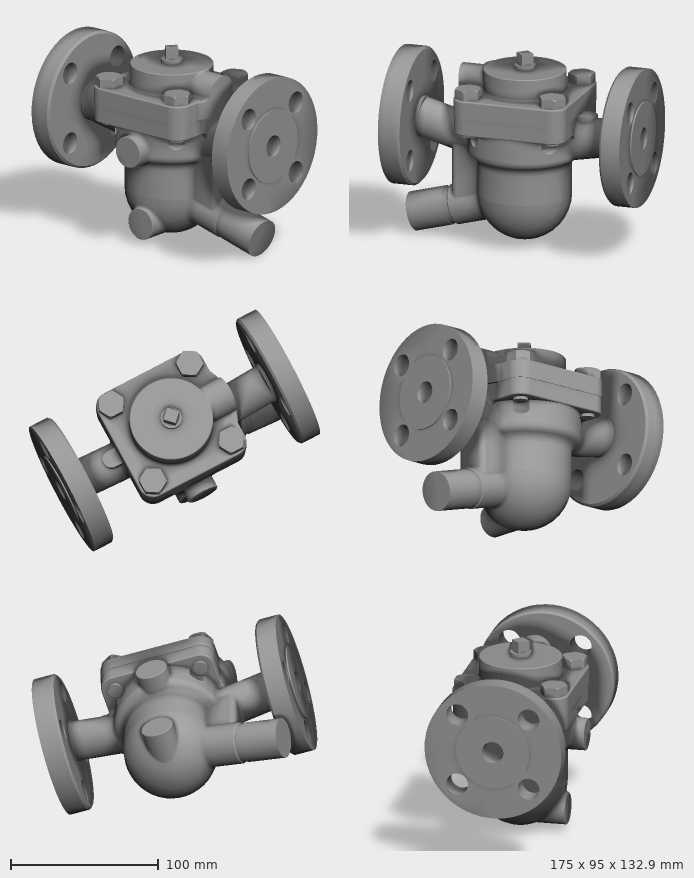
import cadquery as cq
import math

FACE_TO_FACE = 175.0
INLET_FACE_X = -85.0
OUTLET_FACE_X = INLET_FACE_X + FACE_TO_FACE

FLANGE_DIA = 95.0
FLANGE_THICKNESS = 15.0
FLANGE_CHAMFER = 1.5
RAISED_FACE_DIA = 51.0
RAISED_FACE_HEIGHT = 1.0
FLANGE_DEPTH = FLANGE_THICKNESS + RAISED_FACE_HEIGHT
FLANGE_HOLE_DIA = 15.0
FLANGE_HOLE_PITCH = 49.5
BORE_DIA = 15.0
HUB_DIA = 28.0
HUB_LENGTH = 2.3

PIPE_DIA = 27.0
INLET_ANGLE = 10.5
OUTLET_ANGLE = 15.0
DRAIN_ANGLE = 15.0
PIPE_FILLET = 2.8

STEM_TOP_Z = 52.0
COLLAR_TOP_Z = 44.0
BOSS_TOP_Z = 41.1
COVER_TOP_Z = 25.9
JOINT_Z = 13.1
BODY_FLANGE_BOTTOM_Z = 1.2
COVER_SIDE = 80.5
BODY_FLANGE_SIDE = 79.5
BOLT_OFFSET = 30.1
COVER_LOBE_RADIUS = 45.2
COVER_LOBE_WIDTH = 42.4
BODY_LOBE_RADIUS = 42.7
PLATE_EDGE_FILLET = 1.0

BOSS_DIA = 56.5
BOSS_BASE_FILLET = 1.8
BOSS_TOP_FILLET = 0.5
PORT_RADIUS = 12.2
PORT_FILLET = 1.8
PORT_TOP_DROP = 0.7
PORT_Z = BOSS_TOP_Z - PORT_TOP_DROP - PORT_RADIUS
COLLAR_DIA = 14.4
STEM_SQUARE = 8.5

BOLT_DIA = 10.0
BOLT_HEAD_FLATS = 16.5
BOLT_HEAD_HEIGHT = 6.6
BOLT_HEAD_CHAMFER = 0.9
BOLT_END_Z = BODY_FLANGE_BOTTOM_Z - 2.1
BOLT_RELIEF_DIA = 14.7
BOLT_RELIEF_SHOULDER_Z = -6.1

NECK_RADIUS = 38.5
BOWL_RADIUS = 32.0
SHOULDER_TOP_Z = -14.9
SHOULDER_BOTTOM_Z = -25.2
BOWL_CENTRE_Z = -46.5

PLUG_DIA = 22.0
PLUG_CHAMFER = 0.5
PLUG_FILLET = 2.1
UPPER_PLUG_Z = -11.9
UPPER_PLUG_FACE_Y = -46.2
LOWER_PLUG_Z = -66.0
LOWER_PLUG_FACE_Y = -32.9

DRAIN_LENGTH = 82.5
DRAIN_SOCKET_DIA = 28.0
DRAIN_SOCKET_END = 52.2
DRAIN_GROOVE_DIA = 25.9
DRAIN_GROOVE_WIDTH = 3.5
DRAIN_SOCKET_CHAMFER = 0.9

MEETING_TOLERANCE = 0.002

RIB_END_X = 49.0
RIB_HALF_WIDTH = 12.2
RIB_CORNER_RADIUS = 4.0
RIB_FILLET = 2.1

LUG_RADIUS = 6.0
LUG_CENTRE_X = -46.0
LUG_BOTTOM_Z = 3.5


def vertical_cylinder(diameter, bottom_z, top_z):
    return cq.Workplane("XY", origin=(0, 0, bottom_z)).circle(diameter / 2).extrude(top_z - bottom_z)


def branch(diameter, start, direction, length):
    """Cylinder from a start point along a direction."""
    return cq.Workplane(cq.Solid.makeCylinder(diameter / 2, length, cq.Vector(*start), cq.Vector(*direction)))


def blend(base, addition, radius):
    """Union of two solids with a fillet along the line where their surfaces meet."""
    skins = [solid.val().Shells()[0] for solid in (base, addition)]
    joined = base.union(addition)
    meeting_edges = []
    for edge in joined.edges().vals():
        middle = cq.Vertex.makeVertex(*edge.positionAt(0.5).toTuple())
        if all(middle.distance(skin) < MEETING_TOLERANCE for skin in skins):
            meeting_edges.append(edge)
    return joined.newObject(meeting_edges).fillet(radius)


def flange(face_x, inward):
    """Flange with raised face and short hub; inward is +1 or -1 along X."""
    axis = (inward, 0, 0)
    disc_x = face_x + inward * RAISED_FACE_HEIGHT
    disc = branch(FLANGE_DIA, (disc_x, 0, 0), axis, FLANGE_THICKNESS)
    disc = disc.faces(">X" if inward > 0 else "<X").chamfer(FLANGE_CHAMFER)
    raised_face = branch(RAISED_FACE_DIA, (face_x, 0, 0), axis, FLANGE_DEPTH)
    hub = branch(HUB_DIA, (face_x, 0, 0), axis, FLANGE_DEPTH + HUB_LENGTH)
    body = disc.union(raised_face).union(hub)
    holes = (
        cq.Workplane("YZ", origin=(face_x, 0, 0))
        .rect(FLANGE_HOLE_PITCH, FLANGE_HOLE_PITCH, forConstruction=True)
        .vertices()
        .circle(FLANGE_HOLE_DIA / 2)
        .extrude(inward * FLANGE_DEPTH)
    )
    return body.cut(holes)


def bore(face_x, inward):
    return branch(BORE_DIA, (face_x, 0, 0), (inward, 0, 0), FLANGE_DEPTH)


def sloping_pipe(face_x, inward, angle):
    """Pipe falling from the hub of a flange to the body axis."""
    start_x = face_x + inward * FLANGE_DEPTH
    slope = math.radians(angle)
    direction = (inward * math.cos(slope), 0, -math.sin(slope))
    return branch(PIPE_DIA, (start_x, 0, 0), direction, abs(start_x) / math.cos(slope))


def lobed_plate(side, lobe_radius, bottom_z, top_z):
    """Square plate, rounded about the bolts, with a round lobe on the +X side."""
    height = top_z - bottom_z
    base = cq.Workplane("XY", origin=(0, 0, bottom_z))
    square = base.rect(side, side).extrude(height).edges("|Z").fillet(side / 2 - BOLT_OFFSET)
    lobe = base.circle(lobe_radius).extrude(height)
    lobe_strip = base.center(lobe_radius / 2, 0).rect(lobe_radius, COVER_LOBE_WIDTH).extrude(height)
    return square.union(lobe.intersect(lobe_strip))


def cover():
    """Boss and side port blended into a slab, then trimmed to the plate outline."""
    slab_side = 3 * COVER_SIDE
    slab_height = COVER_TOP_Z - JOINT_Z
    slab = cq.Workplane("XY", origin=(0, 0, JOINT_Z)).rect(slab_side, slab_side).extrude(slab_height)
    boss = vertical_cylinder(BOSS_DIA, JOINT_Z, BOSS_TOP_Z).faces(">Z").edges().fillet(BOSS_TOP_FILLET)
    port = branch(2 * PORT_RADIUS, (0, 0, PORT_Z), (1, 0, 0), COVER_SIDE)
    casting = blend(blend(slab, boss, BOSS_BASE_FILLET), port, PORT_FILLET)

    outline = lobed_plate(COVER_SIDE, COVER_LOBE_RADIUS, JOINT_Z, COVER_TOP_Z)
    outline = outline.faces(">Z").edges().fillet(PLATE_EDGE_FILLET)
    port_strip = (
        cq.Workplane("XY", origin=(0, 0, JOINT_Z))
        .center(COVER_LOBE_RADIUS / 2, 0)
        .rect(COVER_LOBE_RADIUS, 2 * (PORT_RADIUS + PORT_FILLET))
        .extrude(BOSS_TOP_Z - JOINT_Z)
    )
    above_plate = vertical_cylinder(2 * COVER_LOBE_RADIUS, JOINT_Z, BOSS_TOP_Z).intersect(port_strip)
    boss_envelope = vertical_cylinder(BOSS_DIA + 2 * BOSS_BASE_FILLET, JOINT_Z, BOSS_TOP_Z)
    return casting.intersect(outline.union(above_plate).union(boss_envelope))


def stem():
    collar = vertical_cylinder(COLLAR_DIA, JOINT_Z, COLLAR_TOP_Z)
    square = (
        cq.Workplane("XY", origin=(0, 0, JOINT_Z))
        .rect(STEM_SQUARE, STEM_SQUARE)
        .extrude(STEM_TOP_Z - JOINT_Z)
        .rotate((0, 0, 0), (0, 0, 1), 45)
    )
    return collar.union(square)


def around_bolt_circle(feature):
    """Four copies of a feature made at the +X +Y bolt position."""
    copies = feature
    for turn in (90, 180, 270):
        copies = copies.union(feature.rotate((0, 0, 0), (0, 0, 1), turn))
    return copies


def bolt():
    corner_circle = BOLT_HEAD_FLATS / math.cos(math.radians(30))
    head = (
        cq.Workplane("XY", origin=(0, 0, COVER_TOP_Z))
        .polygon(6, corner_circle)
        .extrude(BOLT_HEAD_HEIGHT)
        .rotate((0, 0, 0), (0, 0, 1), 90)
    )
    head_top_z = COVER_TOP_Z + BOLT_HEAD_HEIGHT
    rounding = vertical_cylinder(corner_circle, COVER_TOP_Z, head_top_z)
    rounding = rounding.faces(">Z").chamfer(BOLT_HEAD_CHAMFER)
    shank = vertical_cylinder(BOLT_DIA, BOLT_END_Z, COVER_TOP_Z)
    return head.intersect(rounding).union(shank).translate((BOLT_OFFSET, BOLT_OFFSET, 0))


def bolt_relief():
    """Drilled clearance below the body flange, ending in a 45 degree tip."""
    radius = BOLT_RELIEF_DIA / 2
    return (
        cq.Workplane("XZ")
        .moveTo(0, BODY_FLANGE_BOTTOM_Z)
        .lineTo(radius, BODY_FLANGE_BOTTOM_Z)
        .lineTo(radius, BOLT_RELIEF_SHOULDER_Z)
        .lineTo(0, BOLT_RELIEF_SHOULDER_Z - radius)
        .close()
        .revolve(360, (0, 0, 0), (0, 1, 0))
        .translate((BOLT_OFFSET, BOLT_OFFSET, 0))
    )


def body_shell():
    """Neck, S-shaped shoulder and round-bottomed bowl, turned about Z."""
    shoulder_mid = ((NECK_RADIUS + BOWL_RADIUS) / 2, (SHOULDER_TOP_Z + SHOULDER_BOTTOM_Z) / 2)
    bowl_45 = BOWL_RADIUS * math.sqrt(0.5)
    return (
        cq.Workplane("XZ")
        .moveTo(0, JOINT_Z)
        .lineTo(NECK_RADIUS, JOINT_Z)
        .lineTo(NECK_RADIUS, SHOULDER_TOP_Z)
        .tangentArcPoint(shoulder_mid, relative=False)
        .tangentArcPoint((BOWL_RADIUS, SHOULDER_BOTTOM_Z), relative=False)
        .lineTo(BOWL_RADIUS, BOWL_CENTRE_Z)
        .threePointArc((bowl_45, BOWL_CENTRE_Z - bowl_45), (0, BOWL_CENTRE_Z - BOWL_RADIUS))
        .close()
        .revolve(360, (0, 0, 0), (0, 1, 0))
    )


def plug(centre_z, face_y):
    cylinder = branch(PLUG_DIA, (0, face_y, centre_z), (0, 1, 0), -face_y)
    return cylinder.faces("<Y").chamfer(PLUG_CHAMFER)


def drain_parts():
    """Socket cast on the bowl, and the grooved pipe that fits into it."""
    slope = math.radians(DRAIN_ANGLE)
    direction = (math.cos(slope), 0, -math.sin(slope))
    start = (0, 0, BOWL_CENTRE_Z)
    groove_end = DRAIN_SOCKET_END + DRAIN_GROOVE_WIDTH
    pipe_start = (groove_end * direction[0], 0, BOWL_CENTRE_Z + groove_end * direction[2])
    socket = branch(DRAIN_SOCKET_DIA, start, direction, DRAIN_SOCKET_END)
    socket = socket.faces(">X").chamfer(DRAIN_SOCKET_CHAMFER)
    groove = branch(DRAIN_GROOVE_DIA, start, direction, groove_end)
    pipe = branch(PIPE_DIA, pipe_start, direction, DRAIN_LENGTH - groove_end)
    return socket, groove.union(pipe)


def rib():
    outlet_start_x = OUTLET_FACE_X - FLANGE_DEPTH
    top_z = -(outlet_start_x - RIB_END_X) * math.tan(math.radians(OUTLET_ANGLE))
    bottom_z = BOWL_CENTRE_Z - RIB_END_X * math.tan(math.radians(DRAIN_ANGLE))
    return (
        cq.Workplane("XY", origin=(0, 0, bottom_z))
        .center(RIB_END_X / 2, 0)
        .rect(RIB_END_X, 2 * RIB_HALF_WIDTH)
        .extrude(top_z - bottom_z)
        .edges("|Z and >X")
        .fillet(RIB_CORNER_RADIUS)
    )


def lug():
    base = cq.Workplane("XY", origin=(0, 0, LUG_BOTTOM_Z))
    height = JOINT_Z - LUG_BOTTOM_Z
    tip = base.center(LUG_CENTRE_X, 0).circle(LUG_RADIUS).extrude(height)
    web = base.center(LUG_CENTRE_X / 2, 0).rect(-LUG_CENTRE_X, 2 * LUG_RADIUS).extrude(height)
    return tip.union(web)


body_flange = lobed_plate(BODY_FLANGE_SIDE, BODY_LOBE_RADIUS, BODY_FLANGE_BOTTOM_Z, JOINT_Z)
body_flange = body_flange.faces("<Z").edges().fillet(PLATE_EDGE_FILLET)

drain_socket, drain_pipe = drain_parts()
body = body_shell().union(body_flange)
body = blend(body, sloping_pipe(INLET_FACE_X, 1, INLET_ANGLE), PIPE_FILLET)
body = blend(body, sloping_pipe(OUTLET_FACE_X, -1, OUTLET_ANGLE), PIPE_FILLET)
body = blend(body, plug(UPPER_PLUG_Z, UPPER_PLUG_FACE_Y), PLUG_FILLET)
body = blend(body, plug(LOWER_PLUG_Z, LOWER_PLUG_FACE_Y), PLUG_FILLET)
body = blend(body, drain_socket, PIPE_FILLET)
body = blend(body, rib(), RIB_FILLET)
body = body.cut(around_bolt_circle(bolt_relief()))

result = (
    body.union(lug())
    .union(drain_pipe)
    .union(cover())
    .union(stem())
    .union(around_bolt_circle(bolt()))
    .union(flange(INLET_FACE_X, 1))
    .union(flange(OUTLET_FACE_X, -1))
)
result = result.cut(bore(INLET_FACE_X, 1)).cut(bore(OUTLET_FACE_X, -1))